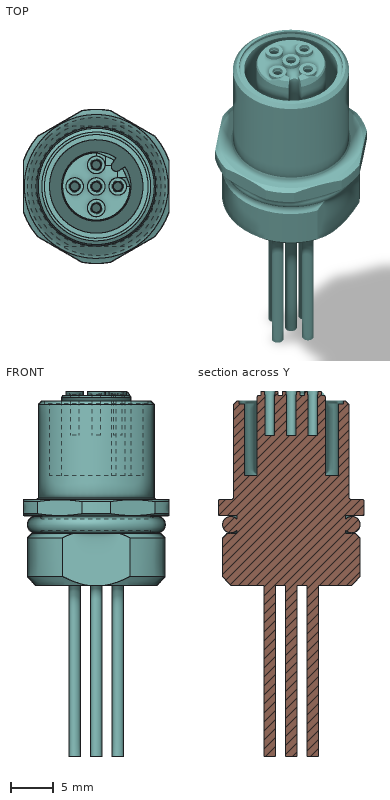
import cadquery as cq
import math

TOTAL_HEIGHT = 42.6
BODY_BOTTOM = 19.95
BASE_CHAMFER_TOP = 21.0
BASE_EDGE = 25.5
GROOVE_BOTTOM = 26.03
HEX_BOTTOM = 28.07
HEX_TOP = 30.0
SOCKET_FLOOR = 32.8
RIM_TOP = 41.5
INSERT_FACE = 42.15

BASE_RADIUS = 8.05
BASE_FLAT_DISTANCE = 7.05
BASE_BOTTOM_RADIUS = 7.07
GROOVE_SHOULDER_RADIUS = 7.55
GROOVE_RADIUS = 6.35
RING_SECTION_RADIUS = 1.0
RING_HEIGHT = (GROOVE_BOTTOM + HEX_BOTTOM) / 2
RING_CENTRE_RADIUS = BASE_RADIUS - RING_SECTION_RADIUS

HEX_SIDES = 6
HEX_ACROSS_FLATS = 17.0
HEX_ACROSS_CORNERS = 18.0
HEX_CORNER_RADIUS = HEX_ACROSS_CORNERS / 2
HEX_FACE_RADIUS = 8.4
HEX_CHAMFER_HEIGHT = 0.25

SLEEVE_RADIUS = 6.77
SLEEVE_FOOT = 0.15
SLEEVE_CHAMFER = 0.43
MOUTH_RADIUS = 6.05
MOUTH_DEPTH = 0.35
SOCKET_RADIUS = 5.45

INSERT_RADIUS = 4.05
INSERT_TAPER = 0.13
INSERT_TAPER_HEIGHT = 0.25
PIN_PITCH = 2.5
COLLAR_RADIUS = 1.02
PIN_HOLE_RADIUS = 0.6
CONTACT_RADIUS = 0.5
CONTACT_RECESS = 0.4
PIN_HOLE_DEPTH = 5.1
PIN_CENTRES = [(0, 0), (PIN_PITCH, 0), (0, PIN_PITCH), (-PIN_PITCH, 0), (0, -PIN_PITCH)]

LUG_NEAR_EDGE = 1.05
LUG_FAR_EDGE = 2.45
RAMP_START = 0
KEYWAY_RADIUS = 0.6
KEYWAY_CENTRE = 3.32
KEYWAY_MOUTH_HALF_WIDTH = 0.75
KEYWAY_ANGLE = 45

WIRE_RADIUS = 0.7
WIRE_EMBED = 0.43


def disc(radius, bottom, top, centres=((0, 0),)):
    """Upright cylinders between two heights."""
    plane = cq.Workplane("XY").workplane(offset=bottom)
    return plane.pushPoints(list(centres)).circle(radius).extrude(top - bottom)


def turned(profile):
    """Solid of revolution about Z from (radius, height) points."""
    return cq.Workplane("XZ").polyline(profile).close().revolve(360, (0, 0, 0), (0, 1, 0))


def make_base():
    base = turned([
        (0, BODY_BOTTOM),
        (BASE_BOTTOM_RADIUS, BODY_BOTTOM),
        (BASE_RADIUS, BASE_CHAMFER_TOP),
        (BASE_RADIUS, BASE_EDGE),
        (GROOVE_SHOULDER_RADIUS, GROOVE_BOTTOM),
        (GROOVE_RADIUS, GROOVE_BOTTOM),
        (GROOVE_RADIUS, HEX_TOP),
        (0, HEX_TOP),
    ])
    between_flats = cq.Workplane("XY").box(
        2 * BASE_RADIUS, 2 * BASE_FLAT_DISTANCE, TOTAL_HEIGHT, centered=(True, True, False)
    )
    return base.intersect(between_flats)


def make_ring():
    section = cq.Workplane("XZ").center(RING_CENTRE_RADIUS, RING_HEIGHT).circle(RING_SECTION_RADIUS)
    return section.revolve(360, (-RING_CENTRE_RADIUS, 0, 0), (-RING_CENTRE_RADIUS, 1, 0))


def make_flange():
    sharp_diameter = HEX_ACROSS_FLATS / math.cos(math.pi / HEX_SIDES)
    hexagon = (
        cq.Workplane("XY").workplane(offset=HEX_BOTTOM)
        .transformed(rotate=(0, 0, 90))
        .polygon(HEX_SIDES, sharp_diameter)
        .extrude(HEX_TOP - HEX_BOTTOM)
    )
    turned_corners = turned([
        (0, HEX_BOTTOM),
        (HEX_FACE_RADIUS, HEX_BOTTOM),
        (HEX_CORNER_RADIUS, HEX_BOTTOM + HEX_CHAMFER_HEIGHT),
        (HEX_CORNER_RADIUS, HEX_TOP - HEX_CHAMFER_HEIGHT),
        (HEX_FACE_RADIUS, HEX_TOP),
        (0, HEX_TOP),
    ])
    return hexagon.intersect(turned_corners)


def make_sleeve():
    return turned([
        (0, HEX_TOP),
        (SLEEVE_RADIUS + SLEEVE_FOOT, HEX_TOP),
        (SLEEVE_RADIUS, HEX_TOP + SLEEVE_FOOT),
        (SLEEVE_RADIUS, RIM_TOP - SLEEVE_CHAMFER),
        (SLEEVE_RADIUS - SLEEVE_CHAMFER, RIM_TOP),
        (MOUTH_RADIUS, RIM_TOP),
        (MOUTH_RADIUS, RIM_TOP - MOUTH_DEPTH),
        (SOCKET_RADIUS, RIM_TOP - MOUTH_DEPTH),
        (SOCKET_RADIUS, SOCKET_FLOOR),
        (0, SOCKET_FLOOR),
    ])


def tapered_cylinder(top):
    """Insert outline, with the taper at its upper edge carried up to the given height."""
    taper_bottom = INSERT_FACE - INSERT_TAPER_HEIGHT
    taper_rate = INSERT_TAPER / INSERT_TAPER_HEIGHT
    return turned([
        (0, SOCKET_FLOOR),
        (INSERT_RADIUS, SOCKET_FLOOR),
        (INSERT_RADIUS, taper_bottom),
        (INSERT_RADIUS - taper_rate * (top - taper_bottom), top),
        (0, top),
    ])


def make_lug():
    """Lug beside the +Y pin, with a ramp rising to it past the pin collar."""
    reach = 2 * INSERT_RADIUS
    lug_height = TOTAL_HEIGHT - INSERT_FACE
    lug = (
        cq.Workplane("XY").workplane(offset=INSERT_FACE)
        .moveTo(LUG_NEAR_EDGE, LUG_FAR_EDGE)
        .lineTo(LUG_FAR_EDGE, LUG_FAR_EDGE)
        .lineTo(reach, reach)
        .lineTo(LUG_NEAR_EDGE, reach)
        .close()
        .extrude(lug_height)
    )
    ramp = (
        cq.Workplane("XZ", origin=(0, PIN_PITCH, 0))
        .moveTo(RAMP_START, INSERT_FACE)
        .lineTo(LUG_NEAR_EDGE, INSERT_FACE)
        .lineTo(LUG_NEAR_EDGE, TOTAL_HEIGHT)
        .close()
        .extrude(-reach)
    )
    return lug.union(ramp)


def make_keyway():
    """Round-ended slot flaring outwards, cut down to the socket floor."""
    keyway = (
        cq.Workplane("XY").workplane(offset=SOCKET_FLOOR)
        .moveTo(KEYWAY_CENTRE, KEYWAY_RADIUS)
        .threePointArc((KEYWAY_CENTRE - KEYWAY_RADIUS, 0), (KEYWAY_CENTRE, -KEYWAY_RADIUS))
        .lineTo(INSERT_RADIUS, -KEYWAY_MOUTH_HALF_WIDTH)
        .lineTo(INSERT_RADIUS, KEYWAY_MOUTH_HALF_WIDTH)
        .close()
        .extrude(TOTAL_HEIGHT - SOCKET_FLOOR)
    )
    return keyway.rotate((0, 0, 0), (0, 0, 1), KEYWAY_ANGLE)


def make_insert():
    lug = make_lug()
    opposite_lug = lug.mirror("XZ").rotate((0, 0, 0), (0, 0, 1), 2 * KEYWAY_ANGLE)
    lugs = lug.union(opposite_lug).intersect(tapered_cylinder(TOTAL_HEIGHT))
    collars = disc(COLLAR_RADIUS, INSERT_FACE, TOTAL_HEIGHT, PIN_CENTRES)
    insert = tapered_cylinder(INSERT_FACE).union(lugs).cut(make_keyway()).union(collars)
    mouths = disc(PIN_HOLE_RADIUS, TOTAL_HEIGHT - CONTACT_RECESS, TOTAL_HEIGHT, PIN_CENTRES)
    contacts = disc(CONTACT_RADIUS, TOTAL_HEIGHT - PIN_HOLE_DEPTH, TOTAL_HEIGHT, PIN_CENTRES)
    return insert.cut(mouths).cut(contacts)


wires = disc(WIRE_RADIUS, 0, BODY_BOTTOM + WIRE_EMBED, PIN_CENTRES)

result = (
    make_base()
    .union(make_ring())
    .union(make_flange())
    .union(make_sleeve())
    .union(make_insert())
    .union(wires)
)